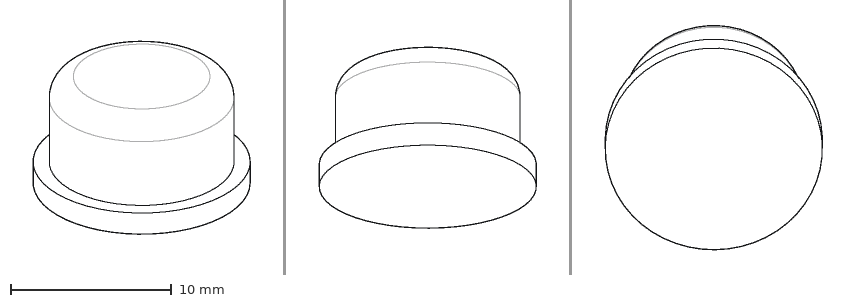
import cadquery as cq

flange_diameter = 13.5
flange_thickness = 1.5
cap_diameter = 11.5
total_height = 7.5
top_edge_radius = 1.5


def make_flange():
    """Flat round flange standing on the XY plane."""
    return cq.Workplane("XY").circle(flange_diameter / 2).extrude(flange_thickness)


def make_cap():
    """Round cap, coaxial with the flange, with a rounded top edge."""
    cap = cq.Workplane("XY").circle(cap_diameter / 2).extrude(total_height)
    return cap.faces(">Z").edges().fillet(top_edge_radius)


result = make_flange().union(make_cap())